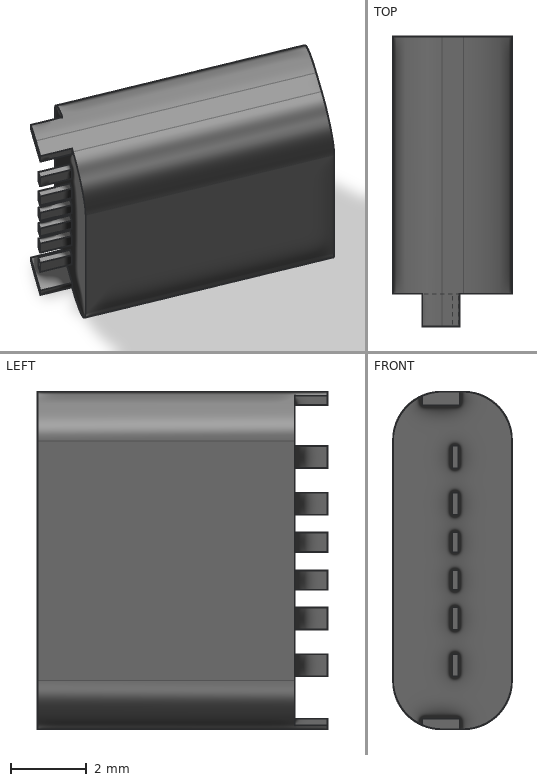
import cadquery as cq

width = 3.16
height = 8.94
total_length = 7.68
corner_radius = 1.3

pin_length = 0.87
body_length = total_length - pin_length

tab_left = -0.805
tab_width = 0.99
top_tab_thickness = 0.36
bottom_tab_thickness = 0.29

pin_left = -0.01
pin_thickness = 0.16
pin_row_z = -0.02
wide_pin = 0.59
narrow_pin = 0.52
pin_pairs = [(0.5, narrow_pin), (1.52, wide_pin), (2.75, wide_pin)]


def rounded_block(length):
    """Shell outline running from the -Y end of the part to the given length."""
    block = cq.Workplane("XY").box(width, length, height, centered=(True, False, True))
    return block.edges("|Y").fillet(corner_radius)


def end_bar(left, bottom, bar_width, bar_height):
    """Bar filling the protruding length, placed by its lower left corner."""
    bar = cq.Workplane("XY").box(bar_width, pin_length, bar_height, centered=False)
    return bar.translate((left, 0, bottom))


result = rounded_block(body_length).translate((0, pin_length, 0))

top_tab = end_bar(tab_left, height / 2 - top_tab_thickness, tab_width, top_tab_thickness)
bottom_tab = end_bar(tab_left, -height / 2, tab_width, bottom_tab_thickness)
outline = rounded_block(pin_length)
for tab in (top_tab, bottom_tab):
    result = result.union(tab.intersect(outline))

for offset, pin_width in pin_pairs:
    for side in (-1, 1):
        pin_bottom = pin_row_z + side * offset - pin_width / 2
        result = result.union(end_bar(pin_left, pin_bottom, pin_thickness, pin_width))